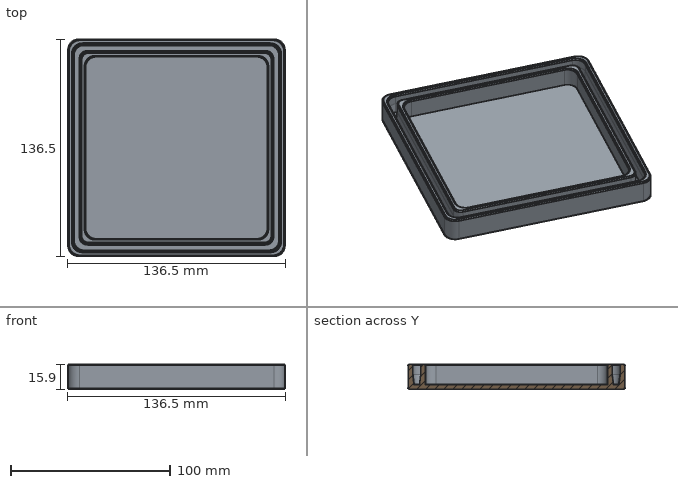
import cadquery as cq

SIDE = 136.525
HEIGHT = 15.875
EDGE_CHAMFER = 0.79375

WALL = 3.175
GROOVE_WIDTH = 4.7625
RIB_WIDTH = 3.175
FLOOR = 3.175

GROOVE_STRAIGHT_DEPTH = 6.35
GROOVE_TAPER_INSET = 0.79375

OUTER_RADIUS = 7.14375
GROOVE_RADIUS = 6.35
RIB_RADIUS = 4.7625
POCKET_RADIUS = 6.35

GROOVE_SIDE = SIDE - 2 * WALL
RIB_SIDE = GROOVE_SIDE - 2 * GROOVE_WIDTH
POCKET_SIDE = RIB_SIDE - 2 * RIB_WIDTH

TAPER_TOP = HEIGHT - GROOVE_STRAIGHT_DEPTH
TAPER_DEPTH = TAPER_TOP - FLOOR


def rounded_block(side, radius, bottom, top):
    """Square block, centred on the Z axis, with rounded vertical edges."""
    block = cq.Workplane("XY").workplane(offset=bottom).rect(side, side).extrude(top - bottom)
    return block.edges("|Z").fillet(radius)


def make_rib_core():
    """Solid inside the groove: straight upper part on a foot that widens down to the floor."""
    foot_side = RIB_SIDE + 2 * GROOVE_TAPER_INSET
    foot_radius = RIB_RADIUS + GROOVE_TAPER_INSET
    foot = rounded_block(foot_side, foot_radius, 0, TAPER_TOP)
    foot = foot.faces(">Z").chamfer(TAPER_DEPTH, GROOVE_TAPER_INSET)
    return rounded_block(RIB_SIDE, RIB_RADIUS, 0, HEIGHT).union(foot)


def make_groove():
    """Ring-shaped channel between the outer wall and the rib, narrowing towards its floor."""
    channel = rounded_block(GROOVE_SIDE, GROOVE_RADIUS, FLOOR, HEIGHT)
    channel = channel.faces("<Z").chamfer(TAPER_DEPTH, GROOVE_TAPER_INSET)
    return channel.cut(make_rib_core())


def make_pocket():
    """Central recess inside the rib."""
    return rounded_block(POCKET_SIDE, POCKET_RADIUS, FLOOR, HEIGHT)


body = rounded_block(SIDE, OUTER_RADIUS, 0, HEIGHT)
tray = body.cut(make_groove()).cut(make_pocket())

result = tray.faces(">Z or <Z").chamfer(EDGE_CHAMFER)